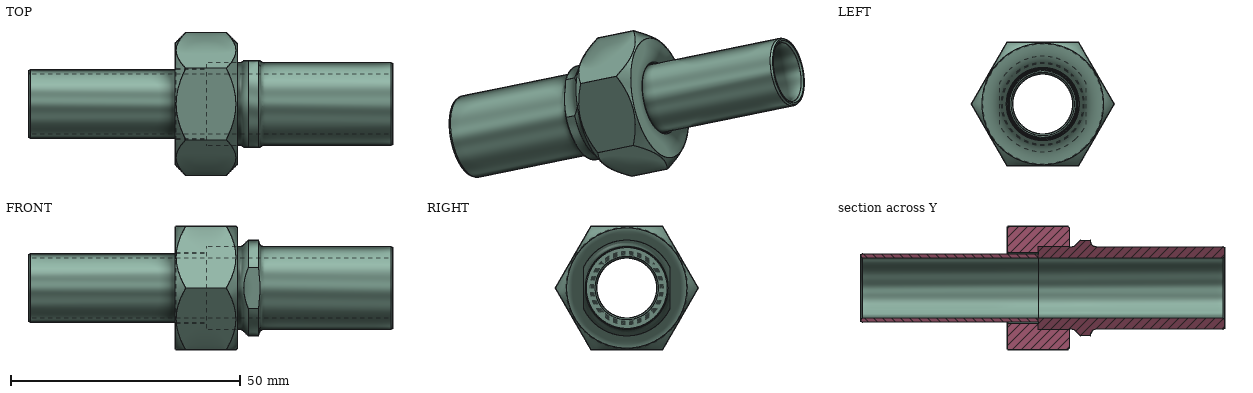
import cadquery as cq
import math

TOTAL_LENGTH = 79.5
BORE_DIAMETER = 13.0
END_CHAMFER_LENGTH = 0.5
END_CHAMFER_DEPTH = 0.2
BORE_CHAMFER = 0.4

NUT_START = 31.95
NUT_WIDTH = 13.7
NUT_ACROSS_FLATS = 27.0
NUT_FRONT_FACE_DIAMETER = 26.55
NUT_BACK_FACE_DIAMETER = 26.2
NUT_HOLE_DIAMETER = 15.5
NUT_HOLE_MOUTH_DIAMETER = 16.0
NUT_END = NUT_START + NUT_WIDTH
NUT_ACROSS_CORNERS = NUT_ACROSS_FLATS / math.cos(math.radians(30))
NUT_FRONT_CHAMFER = (NUT_ACROSS_CORNERS - NUT_FRONT_FACE_DIAMETER) / 2
NUT_BACK_CHAMFER = (NUT_ACROSS_CORNERS - NUT_BACK_FACE_DIAMETER) / 2
NUT_HOLE_CHAMFER = (NUT_HOLE_MOUTH_DIAMETER - NUT_HOLE_DIAMETER) / 2

TUBE_DIAMETER = 15.0
JOINT_X = NUT_START + NUT_WIDTH / 2

NECK_DIAMETER = 18.1
OUTLET_DIAMETER = 18.1
COLLAR_DIAMETER = 20.9
COLLAR_START = 47.9
COLLAR_END = 50.2
COLLAR_FLATS = 18.9
COLLAR_FRONT_ANGLE = 45.0
COLLAR_BACK_ANGLE = 75.0
BLEND_RADIUS = 1.0


def revolve_about_x(profile):
    """Revolve an (x, radius) profile around the X axis."""
    return profile.close().revolve(360, (0, 0, 0), (1, 0, 0))


def blend_offsets(angle):
    """Axial and radial distance from a blend's start on a cylinder, for a given turn in degrees."""
    turn = math.radians(angle)
    return BLEND_RADIUS * math.sin(turn), BLEND_RADIUS * (1 - math.cos(turn))


def make_nut():
    hexagon = (
        cq.Workplane("YZ", origin=(NUT_START, 0, 0))
        .polygon(6, NUT_ACROSS_CORNERS)
        .extrude(NUT_WIDTH)
    )
    front_face_radius = NUT_FRONT_FACE_DIAMETER / 2
    back_face_radius = NUT_BACK_FACE_DIAMETER / 2
    corner_radius = NUT_ACROSS_CORNERS / 2
    turned_envelope = revolve_about_x(
        cq.Workplane("XY")
        .moveTo(NUT_START, 0)
        .lineTo(NUT_START, front_face_radius)
        .lineTo(NUT_START + NUT_FRONT_CHAMFER, corner_radius)
        .lineTo(NUT_END - NUT_BACK_CHAMFER, corner_radius)
        .lineTo(NUT_END, back_face_radius)
        .lineTo(NUT_END, 0)
    )
    hole_radius = NUT_HOLE_DIAMETER / 2
    recess_radius = NECK_DIAMETER / 2
    passage = revolve_about_x(
        cq.Workplane("XY")
        .moveTo(NUT_START, 0)
        .lineTo(NUT_START, NUT_HOLE_MOUTH_DIAMETER / 2)
        .lineTo(NUT_START + NUT_HOLE_CHAMFER, hole_radius)
        .lineTo(JOINT_X, hole_radius)
        .lineTo(JOINT_X, recess_radius)
        .lineTo(NUT_END, recess_radius)
        .lineTo(NUT_END, 0)
    )
    return hexagon.intersect(turned_envelope).cut(passage)


def make_inlet_tube():
    bore_radius = BORE_DIAMETER / 2
    tube_radius = TUBE_DIAMETER / 2
    return revolve_about_x(
        cq.Workplane("XY")
        .moveTo(BORE_CHAMFER, bore_radius)
        .lineTo(0, bore_radius + BORE_CHAMFER)
        .lineTo(0, tube_radius - END_CHAMFER_DEPTH)
        .lineTo(END_CHAMFER_LENGTH, tube_radius)
        .lineTo(JOINT_X, tube_radius)
        .lineTo(JOINT_X, bore_radius)
    )


def make_fitting():
    bore_radius = BORE_DIAMETER / 2
    neck_radius = NECK_DIAMETER / 2
    outlet_radius = OUTLET_DIAMETER / 2
    collar_radius = COLLAR_DIAMETER / 2

    front_run, front_rise = blend_offsets(COLLAR_FRONT_ANGLE)
    front_mid_run, front_mid_rise = blend_offsets(COLLAR_FRONT_ANGLE / 2)
    front_cone_radius = neck_radius + front_rise
    front_slope = math.tan(math.radians(COLLAR_FRONT_ANGLE))
    front_cone_x = COLLAR_START - (collar_radius - front_cone_radius) / front_slope
    front_blend_x = front_cone_x - front_run

    back_run, back_rise = blend_offsets(COLLAR_BACK_ANGLE)
    back_mid_run, back_mid_rise = blend_offsets(COLLAR_BACK_ANGLE / 2)
    back_cone_radius = outlet_radius + back_rise
    back_slope = math.tan(math.radians(COLLAR_BACK_ANGLE))
    back_cone_x = COLLAR_END + (collar_radius - back_cone_radius) / back_slope
    back_blend_x = back_cone_x + back_run

    body = revolve_about_x(
        cq.Workplane("XY")
        .moveTo(JOINT_X, bore_radius)
        .lineTo(JOINT_X, neck_radius)
        .lineTo(front_blend_x, neck_radius)
        .threePointArc(
            (front_blend_x + front_mid_run, neck_radius + front_mid_rise),
            (front_cone_x, front_cone_radius),
        )
        .lineTo(COLLAR_START, collar_radius)
        .lineTo(COLLAR_END, collar_radius)
        .lineTo(back_cone_x, back_cone_radius)
        .threePointArc(
            (back_blend_x - back_mid_run, outlet_radius + back_mid_rise),
            (back_blend_x, outlet_radius),
        )
        .lineTo(TOTAL_LENGTH - END_CHAMFER_LENGTH, outlet_radius)
        .lineTo(TOTAL_LENGTH, outlet_radius - END_CHAMFER_DEPTH)
        .lineTo(TOTAL_LENGTH, bore_radius + BORE_CHAMFER)
        .lineTo(TOTAL_LENGTH - BORE_CHAMFER, bore_radius)
    )
    between_flats = cq.Workplane("XY").box(
        TOTAL_LENGTH, COLLAR_FLATS, COLLAR_DIAMETER, centered=(False, True, True)
    )
    return body.intersect(between_flats)


nut = make_nut()
inlet_tube = make_inlet_tube()
fitting = make_fitting()

result = cq.Compound.makeCompound([nut.val(), inlet_tube.val(), fitting.val()])